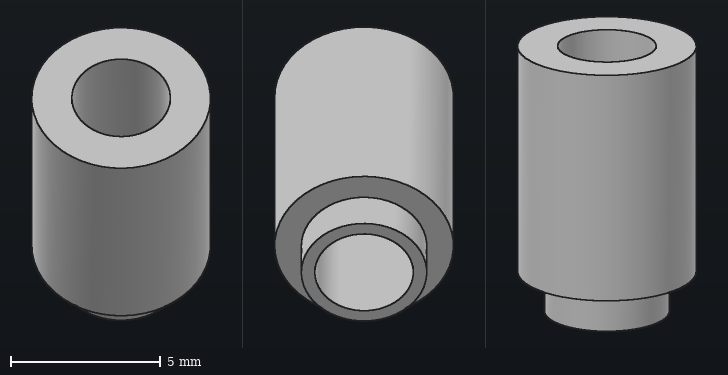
import cadquery as cq

total_height = 9.4
spigot_height = 1.4
body_height = total_height - spigot_height

body_diameter = 6.0
spigot_diameter = 4.2
bore_diameter = 3.3

spigot = cq.Workplane("XY").circle(spigot_diameter / 2).extrude(spigot_height)

body = (
    cq.Workplane("XY")
    .workplane(offset=spigot_height)
    .circle(body_diameter / 2)
    .extrude(body_height)
)

bore = cq.Workplane("XY").circle(bore_diameter / 2).extrude(total_height)

result = spigot.union(body).cut(bore)